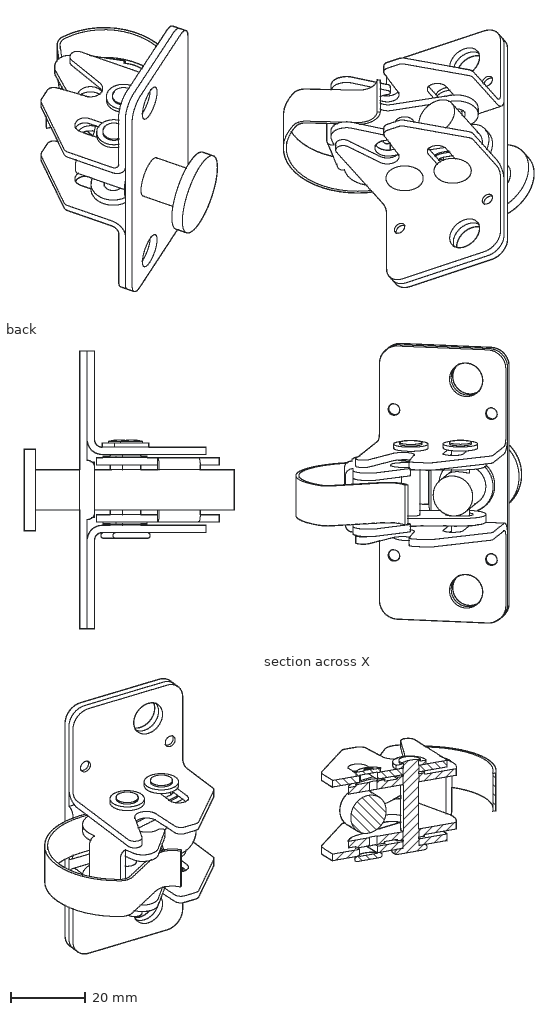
import cadquery as cq
import math


SHEET = 2.0
PLATE_HEIGHT = 75
PLATE_TOP_Y = 24
PLATE_BOTTOM_Y = -11.0
PLATE_CORNER_RADIUS = 5.0

MOUNT_HOLE_RADIUS = 4.6
MOUNT_HOLE_Z = 29.0
WELD_DIMPLE_RADIUS = 1.6
WELD_DIMPLE_DEPTH = 1.0
WELD_DIMPLE_Z = 20.0
WELD_DIMPLE_SPACING = 27
FIT_RADIUS = 2.5

PLUNGER_RADIUS = 5.5
PLUNGER_NOSE_X = -17.6
KNOB_RADIUS = 11.0
KNOB_THICKNESS = 3.15
KNOB_END_X = 17.0
COLLAR_RADIUS = 7.5
PAD_BOTTOM_Y = 10.2
PAD_HALF_HEIGHT = 8.0

WEB_INNER_Z = 9.5
BEND_RADIUS = 2.0
BRACKET_TIP_X = -32.1
BRACKET_ROUND = 2.0
BRACKET_CHAMFER_Y = 3
BRACKET_MOUTH_X = -21.75
BRACKET_MOUTH_RADIUS = 3.15
LIP_SLOPE = math.radians(4)
SLOT_RADIUS = 2.7
SLOT_END_X = -17.3

PIVOT_X = -12
PIVOT_Y = 13.0
DRIVE_X = -8.7

HOOK_OUTER_Z = 8.7
HOOK_BOSS_RADIUS = 4.2
HOOK_BOSS_HEIGHT = 0.45
HOOK_ARM_RADIUS = 6
HOOK_ARM_END = 14.3
HOOK_SLOT_START = 11.85
HOOK_MOUTH_RADIUS = 3.5
HOOK_MOUTH_RISE = 2.2
HOOK_TOP = 16.0
HOOK_SHOULDER_RADIUS = 8.0
HOOK_NOSE = -21.2
HOOK_NOSE_RISE = 10.5
HOOK_NOSE_RADIUS = 4.0
HOOK_NOSE_SLOPE = math.radians(56.5)
HOOK_TIP_RADIUS = 1.0
BRIDGE_START = -14.55
BRIDGE_LENGTH = 11.5

SPRING_THICKNESS = 0.8
SPRING_WIDTH = 10.95
SPRING_RADIUS = 20.0
SPRING_CENTRE_Y = 22.0
SPRING_KNEE_RADIUS = 3.75
SPRING_KNEE_START = math.radians(149)
SPRING_KNEE_END = math.radians(211)
SPRING_STRAIGHT = 14.0
SPRING_TAIL_RADIUS = 5.0
SPRING_TAIL_TURN = math.radians(88)

WASHER_RADIUS = 4.65
WASHER_THICKNESS = 1.1
RIVET_RADIUS = 3
RIVET_RIM = 0.45
DOME_RADIUS = 2.85
DOME_HEIGHT = 0.4
PIN_HEAD_RADIUS = 5.0
PIN_HEAD_THICKNESS = 1.5

WEB_OUTER_Z = WEB_INNER_Z + SHEET
PLATE_MIDDLE_Y = (PLATE_TOP_Y + PLATE_BOTTOM_Y) / 2
PLATE_WIDTH = PLATE_TOP_Y - PLATE_BOTTOM_Y
HOOK_INNER_Z = HOOK_OUTER_Z - SHEET
HOOK_TURN = math.degrees(math.atan2(DRIVE_X - PIVOT_X, PIVOT_Y))
PIN_CENTRES = [(PIVOT_X, PIVOT_Y), (DRIVE_X, 0)]


def polar(centre, radius, angle):
    """Point at a radius and angle (radians) around a centre."""
    return (centre[0] + radius * math.cos(angle), centre[1] + radius * math.sin(angle))


def round_corner(solid, corner, radius):
    """Fillet the edge parallel to Z that stands at an XY corner."""
    return solid.edges("|Z").edges(cq.selectors.NearestToPointSelector((*corner, 0))).fillet(radius)


def upright_cylinder(centre, radius, bottom, top):
    return cq.Workplane("XY").workplane(offset=bottom).center(*centre).circle(radius).extrude(top - bottom)


def mount_holes(start_x, end_x):
    """Cutter for the two large holes through the plate and the brackets."""
    return (
        cq.Workplane("YZ", origin=(start_x, 0, 0))
        .pushPoints([(0, MOUNT_HOLE_Z), (0, -MOUNT_HOLE_Z)])
        .circle(MOUNT_HOLE_RADIUS)
        .extrude(end_x - start_x)
    )


def make_back_plate():
    plate = (
        cq.Workplane("YZ")
        .center(PLATE_MIDDLE_Y, 0)
        .rect(PLATE_WIDTH, PLATE_HEIGHT)
        .extrude(SHEET)
        .edges("|X")
        .fillet(PLATE_CORNER_RADIUS)
    )
    collar = cq.Workplane("YZ").circle(COLLAR_RADIUS).extrude(-SHEET)
    pad_front = PAD_HALF_HEIGHT - SHEET
    quarter = math.sqrt(0.5) * SHEET
    pad = (
        cq.Workplane("XZ", origin=(0, PLATE_TOP_Y, 0))
        .moveTo(0, -PAD_HALF_HEIGHT)
        .threePointArc((-quarter, -pad_front - quarter), (-SHEET, -pad_front))
        .lineTo(-SHEET, pad_front)
        .threePointArc((-quarter, pad_front + quarter), (0, PAD_HALF_HEIGHT))
        .close()
        .extrude(PLATE_TOP_Y - PAD_BOTTOM_Y)
    )
    guide_bore = cq.Workplane("YZ", origin=(-SHEET, 0, 0)).circle(PLUNGER_RADIUS).extrude(2 * SHEET)
    return plate.union(collar).union(pad).cut(guide_bore).cut(mount_holes(0, SHEET))


def bracket_outline():
    """XY outline of the bracket as a tall prism."""
    nose = (BRACKET_TIP_X + BRACKET_ROUND, PLATE_TOP_Y - BRACKET_ROUND)
    mouth = (BRACKET_MOUTH_X, PIVOT_Y)
    run, drop = mouth[0] - nose[0], nose[1] - mouth[1]
    lean = math.asin((BRACKET_ROUND + BRACKET_MOUTH_RADIUS) / math.hypot(run, drop))
    tangent = math.atan2(drop, run) - lean
    normal = math.pi / 2 - tangent
    lip_start = polar(mouth, BRACKET_MOUTH_RADIUS, LIP_SLOPE - math.pi / 2)
    lip_y = lip_start[1] - (lip_start[0] - BRACKET_TIP_X) * math.tan(LIP_SLOPE)
    lip_corner = (BRACKET_TIP_X, lip_y)
    chamfer_corner = (BRACKET_TIP_X, BRACKET_CHAMFER_Y)
    bottom_corner = (BRACKET_TIP_X + BRACKET_CHAMFER_Y - PLATE_BOTTOM_Y, PLATE_BOTTOM_Y)
    prism = (
        cq.Workplane("XY")
        .moveTo(0, PLATE_TOP_Y)
        .lineTo(nose[0], PLATE_TOP_Y)
        .threePointArc((BRACKET_TIP_X, nose[1]), polar(nose, BRACKET_ROUND, normal + math.pi))
        .lineTo(*polar(mouth, BRACKET_MOUTH_RADIUS, normal))
        .threePointArc((mouth[0] + BRACKET_MOUTH_RADIUS, mouth[1]), lip_start)
        .lineTo(*lip_corner)
        .lineTo(*chamfer_corner)
        .lineTo(*bottom_corner)
        .lineTo(0, PLATE_BOTTOM_Y)
        .close()
        .extrude(PLATE_HEIGHT / 2)
    )
    for corner in (lip_corner, chamfer_corner, bottom_corner):
        prism = round_corner(prism, corner, BRACKET_ROUND)
    return prism


def bent_sheet():
    """Web and flange joined by a bend, over the full width of the plate."""
    outer_radius = BEND_RADIUS + SHEET
    bend_centre = (-outer_radius, WEB_INNER_Z + outer_radius)
    middle = -math.pi / 4
    return (
        cq.Workplane("XZ", origin=(0, PLATE_TOP_Y, 0))
        .moveTo(BRACKET_TIP_X, WEB_INNER_Z)
        .lineTo(bend_centre[0], WEB_INNER_Z)
        .threePointArc(polar(bend_centre, outer_radius, middle), (0, bend_centre[1]))
        .lineTo(0, PLATE_HEIGHT / 2)
        .lineTo(-SHEET, PLATE_HEIGHT / 2)
        .lineTo(-SHEET, bend_centre[1])
        .threePointArc(polar(bend_centre, BEND_RADIUS, middle), (bend_centre[0], WEB_OUTER_Z))
        .lineTo(BRACKET_TIP_X, WEB_OUTER_Z)
        .close()
        .extrude(PLATE_WIDTH)
        .edges("|X and >Z")
        .fillet(PLATE_CORNER_RADIUS)
    )


def make_bracket():
    """The upper bracket; the lower one is its mirror image."""
    slot = (
        cq.Workplane("XY")
        .center((SLOT_END_X + DRIVE_X) / 2, 0)
        .slot2D(DRIVE_X - SLOT_END_X + 2 * SLOT_RADIUS, 2 * SLOT_RADIUS)
        .extrude(WEB_OUTER_Z)
    )
    weld_dimples = (
        cq.Workplane("YZ", origin=(-SHEET, 0, 0))
        .center(PLATE_MIDDLE_Y, WELD_DIMPLE_Z)
        .rarray(WELD_DIMPLE_SPACING, 0.75, 2, 1)
        .circle(WELD_DIMPLE_RADIUS)
        .extrude(WELD_DIMPLE_DEPTH)
    )
    pivot_hole = upright_cylinder((PIVOT_X, PIVOT_Y), FIT_RADIUS, 0, WEB_OUTER_Z)
    bracket = bent_sheet().intersect(bracket_outline())
    return bracket.cut(slot).cut(pivot_hole).cut(weld_dimples).cut(mount_holes(-SHEET, 0))


def make_plunger():
    rod = cq.Workplane("YZ", origin=(PLUNGER_NOSE_X, 0, 0)).circle(PLUNGER_RADIUS).extrude(
        KNOB_END_X - PLUNGER_NOSE_X
    )
    knob = cq.Workplane("YZ", origin=(KNOB_END_X, 0, 0)).circle(KNOB_RADIUS).extrude(-KNOB_THICKNESS)
    cross_hole = upright_cylinder((DRIVE_X, 0), FIT_RADIUS, -PLUNGER_RADIUS, PLUNGER_RADIUS)
    return rod.union(knob).cut(cross_hole)


def hook_outline():
    """Hook side outline, filled over the full height of the hook."""
    mouth_outer = -HOOK_ARM_RADIUS - 2 * HOOK_MOUTH_RADIUS
    mouth_top = (-HOOK_ARM_RADIUS - HOOK_MOUTH_RADIUS, HOOK_MOUTH_RISE + HOOK_MOUTH_RADIUS)
    tip = (mouth_outer, HOOK_NOSE_RISE - (mouth_outer - HOOK_NOSE) * math.tan(HOOK_NOSE_SLOPE))
    nose_corner = (HOOK_NOSE, HOOK_NOSE_RISE)
    crown_corner = (HOOK_NOSE, HOOK_TOP)
    shoulder_corner = (HOOK_ARM_RADIUS, HOOK_TOP)
    prism = (
        cq.Workplane("XY")
        .workplane(offset=-HOOK_OUTER_Z)
        .moveTo(HOOK_ARM_RADIUS, -HOOK_ARM_END)
        .lineTo(*shoulder_corner)
        .lineTo(*crown_corner)
        .lineTo(*nose_corner)
        .lineTo(*tip)
        .lineTo(mouth_outer, HOOK_MOUTH_RISE)
        .threePointArc(mouth_top, (-HOOK_ARM_RADIUS, HOOK_MOUTH_RISE))
        .lineTo(-HOOK_ARM_RADIUS, -HOOK_ARM_END)
        .threePointArc((0, -HOOK_ARM_END - HOOK_ARM_RADIUS), (HOOK_ARM_RADIUS, -HOOK_ARM_END))
        .close()
        .extrude(2 * HOOK_OUTER_Z)
    )
    rounds = [
        (tip, HOOK_TIP_RADIUS),
        (nose_corner, HOOK_NOSE_RADIUS),
        (crown_corner, HOOK_NOSE_RADIUS),
        (shoulder_corner, HOOK_SHOULDER_RADIUS),
    ]
    for corner, radius in rounds:
        prism = round_corner(prism, corner, radius)
    return prism


def hook_slot(radius, half_height):
    """Long hole, or the boss around it, that follows the arm."""
    return (
        cq.Workplane("XY")
        .center(0, -(HOOK_SLOT_START + HOOK_ARM_END) / 2)
        .slot2D(HOOK_ARM_END - HOOK_SLOT_START + 2 * radius, 2 * radius, 90)
        .extrude(half_height, both=True)
    )


def make_hook():
    boss_z = HOOK_OUTER_Z + HOOK_BOSS_HEIGHT
    pivot_boss = upright_cylinder((0, 0), HOOK_BOSS_RADIUS, -boss_z, boss_z)
    pivot_hole = upright_cylinder((0, 0), FIT_RADIUS, -boss_z, boss_z)
    bridge = (
        cq.Workplane("XY")
        .box(BRIDGE_LENGTH, 2 * SHEET, 2 * HOOK_OUTER_Z, centered=(False, True, True))
        .edges("|X and >Y")
        .fillet(SHEET)
        .translate((BRIDGE_START, HOOK_TOP, 0))
    )
    gap = cq.Workplane("XY", origin=(0, HOOK_TOP - PLATE_HEIGHT / 2, 0)).box(
        PLATE_HEIGHT, PLATE_HEIGHT, 2 * HOOK_INNER_Z
    )
    bosses = pivot_boss.union(hook_slot(HOOK_BOSS_RADIUS, boss_z))
    block = hook_outline().union(bosses).union(bridge)
    hook = block.cut(gap).cut(pivot_hole).cut(hook_slot(FIT_RADIUS, boss_z))
    return hook.rotate((0, 0, 0), (0, 0, 1), HOOK_TURN).translate((PIVOT_X, PIVOT_Y, 0))


def make_spring():
    bow = (-SHEET - SPRING_RADIUS, SPRING_CENTRE_Y)
    knee = polar(bow, SPRING_RADIUS - SPRING_KNEE_RADIUS, SPRING_KNEE_START)
    straight_heading = SPRING_KNEE_END + math.pi / 2
    knee_exit = polar(knee, SPRING_KNEE_RADIUS, SPRING_KNEE_END)
    straight_end = polar(knee_exit, SPRING_STRAIGHT, straight_heading)
    tail = polar(straight_end, SPRING_TAIL_RADIUS, SPRING_KNEE_END)
    tail_start = SPRING_KNEE_END - math.pi
    tail_end = tail_start - SPRING_TAIL_TURN

    def face_points(depth):
        """Joints and arc middles along the face that lies at a depth below the outer face."""
        bow_radius = SPRING_RADIUS - depth
        knee_radius = SPRING_KNEE_RADIUS - depth
        tail_radius = SPRING_TAIL_RADIUS + depth
        return [
            (bow[0] + bow_radius, PAD_BOTTOM_Y),
            (bow[0] + bow_radius, bow[1]),
            polar(bow, bow_radius, SPRING_KNEE_START / 2),
            polar(bow, bow_radius, SPRING_KNEE_START),
            polar(knee, knee_radius, (SPRING_KNEE_START + SPRING_KNEE_END) / 2),
            polar(knee, knee_radius, SPRING_KNEE_END),
            polar(tail, tail_radius, tail_start),
            polar(tail, tail_radius, (tail_start + tail_end) / 2),
            polar(tail, tail_radius, tail_end),
        ]

    outer = face_points(0)
    inner = face_points(SPRING_THICKNESS)
    return (
        cq.Workplane("XY")
        .moveTo(*outer[0])
        .lineTo(*outer[1])
        .threePointArc(outer[2], outer[3])
        .threePointArc(outer[4], outer[5])
        .lineTo(*outer[6])
        .threePointArc(outer[7], outer[8])
        .lineTo(*inner[8])
        .threePointArc(inner[7], inner[6])
        .lineTo(*inner[5])
        .threePointArc(inner[4], inner[3])
        .threePointArc(inner[2], inner[1])
        .lineTo(*inner[0])
        .close()
        .extrude(SPRING_WIDTH / 2, both=True)
    )


def make_pin(centre):
    head_round = PIN_HEAD_THICKNESS / 2
    head_bottom = -WEB_OUTER_Z - PIN_HEAD_THICKNESS
    head_flat = PIN_HEAD_RADIUS - head_round
    washer_top = WEB_OUTER_Z + WASHER_THICKNESS
    rim_top = washer_top + RIVET_RIM
    dome_top = rim_top + DOME_HEIGHT
    dome_sphere_radius = (DOME_RADIUS**2 + DOME_HEIGHT**2) / (2 * DOME_HEIGHT)
    half_span = math.asin(DOME_RADIUS / dome_sphere_radius) / 2
    dome_middle = polar((0, dome_top - dome_sphere_radius), dome_sphere_radius, math.pi / 2 - half_span)
    return (
        cq.Workplane("XZ")
        .moveTo(0, head_bottom)
        .lineTo(head_flat, head_bottom)
        .threePointArc((PIN_HEAD_RADIUS, head_bottom + head_round), (head_flat, -WEB_OUTER_Z))
        .lineTo(FIT_RADIUS, -WEB_OUTER_Z)
        .lineTo(FIT_RADIUS, washer_top)
        .lineTo(RIVET_RADIUS, washer_top)
        .lineTo(RIVET_RADIUS, rim_top)
        .lineTo(DOME_RADIUS, rim_top)
        .threePointArc(dome_middle, (0, dome_top))
        .close()
        .revolve(360, (0, 0, 0), (0, 1, 0))
        .translate((*centre, 0))
    )


def make_washer(centre):
    top = WEB_OUTER_Z + WASHER_THICKNESS
    disc = upright_cylinder(centre, WASHER_RADIUS, WEB_OUTER_Z, top)
    return disc.cut(upright_cylinder(centre, FIT_RADIUS, WEB_OUTER_Z, top))


back_plate = make_back_plate()
upper_bracket = make_bracket()
lower_bracket = upper_bracket.mirror("XY")
plunger = make_plunger()
hook = make_hook()
spring = make_spring()
pins = [make_pin(centre).val() for centre in PIN_CENTRES]
washers = [make_washer(centre).val() for centre in PIN_CENTRES]

result = cq.Compound.makeCompound(
    [
        back_plate.val(),
        upper_bracket.val(),
        lower_bracket.val(),
        plunger.val(),
        hook.val(),
        spring.val(),
        *pins,
        *washers,
    ]
)